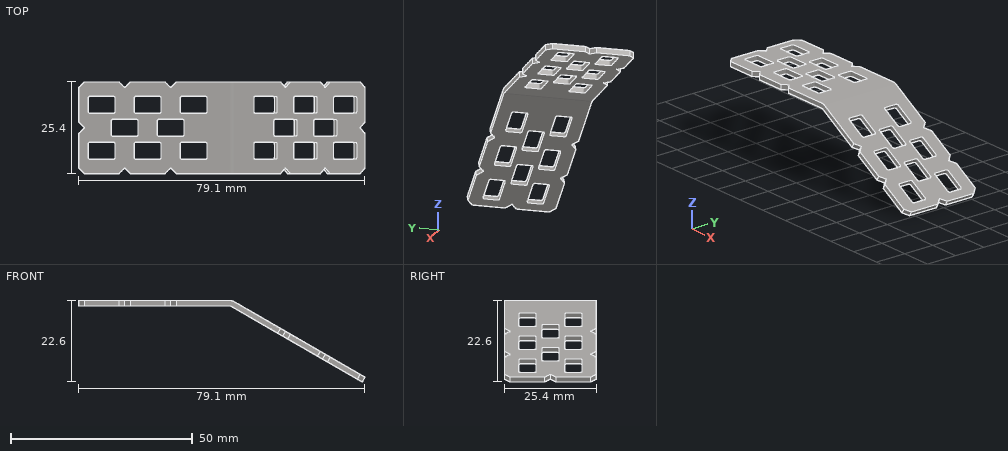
import cadquery as cq
import math

TOTAL_LENGTH = 79.1
WIDTH = 25.4
THICKNESS = 1.6
BEND_ANGLE = 30.0
OUTER_BEND_RADIUS = 2.45

NOTCH_DEPTH = 1.6
WINDOW_LENGTH = 7.35
WINDOW_WIDTH = 4.7
WINDOW_CORNER_RADIUS = 0.5

PITCH = WIDTH / 2
HALF_PITCH = PITCH / 2
END_CELLS = 3

BEND_RADIANS = math.radians(BEND_ANGLE)
LEG_LENGTH = (TOTAL_LENGTH - OUTER_BEND_RADIUS * math.sin(BEND_RADIANS)) / (1 + math.cos(BEND_RADIANS))


def notch_places():
    """Cell corners on the outline of a leg, measured from its free end."""
    places = [(0, side * PITCH) for side in (-1, 0, 1)]
    for cell in range(1, END_CELLS):
        places += [(cell * PITCH, side * PITCH) for side in (-1, 1)]
    return places


def window_places():
    """Cell centers plus the inner cell corners on the center line."""
    places = []
    for cell in range(END_CELLS):
        places += [((cell + 0.5) * PITCH, side * HALF_PITCH) for side in (-1, 1)]
    places += [(cell * PITCH, 0) for cell in range(1, END_CELLS)]
    return places


def perforated_leg():
    """Flat leg with its free end at X = 0 and its top face at Z = 0."""
    leg = cq.Workplane("XY").box(LEG_LENGTH, WIDTH, THICKNESS, centered=(False, True, False))
    notches = (
        cq.Workplane("XY")
        .pushPoints(notch_places())
        .polygon(4, 2 * NOTCH_DEPTH)
        .extrude(THICKNESS)
    )
    windows = (
        cq.Workplane("XY")
        .pushPoints(window_places())
        .rect(WINDOW_LENGTH, WINDOW_WIDTH)
        .extrude(THICKNESS)
        .edges("|Z")
        .fillet(WINDOW_CORNER_RADIUS)
    )
    return leg.cut(notches).cut(windows).translate((0, 0, -THICKNESS))


def bend():
    """Arc of sheet that starts at the end of the flat leg and curves downward."""
    inner_radius = OUTER_BEND_RADIUS - THICKNESS

    def arc_point(radius, share):
        angle = share * BEND_RADIANS
        return (
            LEG_LENGTH + radius * math.sin(angle),
            radius * math.cos(angle) - OUTER_BEND_RADIUS,
        )

    return (
        cq.Workplane("XZ")
        .moveTo(*arc_point(OUTER_BEND_RADIUS, 0))
        .threePointArc(arc_point(OUTER_BEND_RADIUS, 0.5), arc_point(OUTER_BEND_RADIUS, 1))
        .lineTo(*arc_point(inner_radius, 1))
        .threePointArc(arc_point(inner_radius, 0.5), arc_point(inner_radius, 0))
        .close()
        .extrude(WIDTH / 2, both=True)
    )


flat_leg = perforated_leg()

sloping_leg = (
    flat_leg.mirror("YZ", (LEG_LENGTH, 0, 0))
    .rotate(
        (LEG_LENGTH, 0, -OUTER_BEND_RADIUS),
        (LEG_LENGTH, 1, -OUTER_BEND_RADIUS),
        BEND_ANGLE,
    )
)

result = flat_leg.union(bend()).union(sloping_leg)